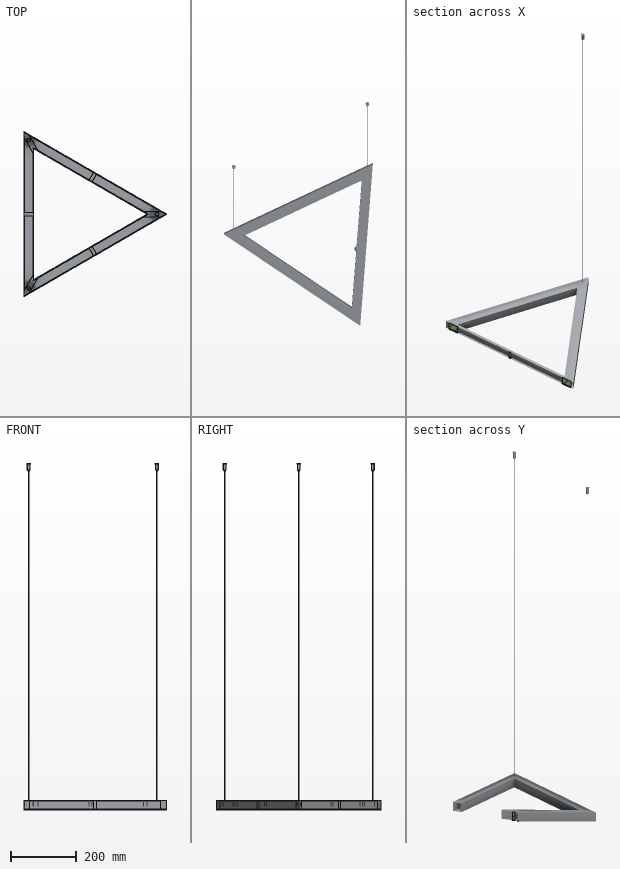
import cadquery as cq
import math

SIDE = 500.0
INRADIUS = SIDE / (2 * math.sqrt(3))
BEAM_WIDTH = 29.0
FRAME_HEIGHT = 28.0
WALL = 1.8
COVER_THICKNESS = WALL
CORNER_ANGLES = (0, 120, 240)
BEAM_ANGLES = (60, 180, 300)

JOINT_WIDTH = 10.0
CORNER_WEB_WIDTH = 17.0

TOTAL_HEIGHT = 1050.0
CORNER_TO_WIRE = 29.0
WIRE_RADIUS = 2 * INRADIUS - CORNER_TO_WIRE
WIRE_DIAMETER = 1.2
SEAT_DEPTH = WALL
FLANGE_DIAMETER = 10.0
FLANGE_HEIGHT = 2.0
GRIPPER_DIAMETER = 9.0
GRIPPER_HEIGHT = 18.0
TIP_DIAMETER = 4.0
TIP_HEIGHT = 2.0
GRIPPER_BOTTOM = TOTAL_HEIGHT - FLANGE_HEIGHT - GRIPPER_HEIGHT - TIP_HEIGHT


def triangle_prism(inradius, height):
    """Equilateral triangular prism centred on the Z axis, standing on z = 0."""
    corners = [
        (2 * inradius * math.cos(math.radians(a)), 2 * inradius * math.sin(math.radians(a)))
        for a in CORNER_ANGLES
    ]
    return cq.Workplane("XY").polyline(corners).close().extrude(height)


def triangle_ring(inset, z_start, z_end):
    """Ring following the frame, set in from its outer and inner faces."""
    height = z_end - z_start
    outer = triangle_prism(INRADIUS - inset, height)
    inner = triangle_prism(INRADIUS - BEAM_WIDTH + inset, height)
    return outer.cut(inner).translate((0, 0, z_start))


def web(x_start, x_end, width, angle):
    """Full-height block lying along X, centred on Y, then turned about the Z axis."""
    return (
        cq.Workplane("XY")
        .rect(x_end - x_start, width)
        .extrude(FRAME_HEIGHT)
        .translate(((x_start + x_end) / 2, 0, 0))
        .rotate((0, 0, 0), (0, 0, 1), angle)
    )


def cylinder(diameter, z_start, height):
    return cq.Workplane("XY", origin=(0, 0, z_start)).circle(diameter / 2).extrude(height)


def at_corner(body, angle):
    return body.translate((WIRE_RADIUS, 0, 0)).rotate((0, 0, 0), (0, 0, 1), angle)


def make_pockets():
    """Six pockets, two per beam, parted by mid-beam and corner webs."""
    pockets = triangle_ring(WALL, COVER_THICKNESS, FRAME_HEIGHT - WALL)
    for angle in BEAM_ANGLES:
        pockets = pockets.cut(web(INRADIUS - BEAM_WIDTH, INRADIUS, JOINT_WIDTH, angle))
    for angle in CORNER_ANGLES:
        pockets = pockets.cut(web(INRADIUS, 2 * INRADIUS, CORNER_WEB_WIDTH, angle))
    return pockets


def make_cover():
    """Flat ring closing the pockets, flush with the underside of the frame."""
    return triangle_ring(WALL, 0, COVER_THICKNESS)


def make_frame():
    """Thin-walled frame with pockets, a recess for the cover and seats for the wires."""
    frame = triangle_ring(0, 0, FRAME_HEIGHT).cut(make_pockets()).cut(make_cover())
    for angle in CORNER_ANGLES:
        seat = cylinder(WIRE_DIAMETER, FRAME_HEIGHT - SEAT_DEPTH, SEAT_DEPTH)
        frame = frame.cut(at_corner(seat, angle))
    return frame


def make_wire(angle):
    wire_bottom = FRAME_HEIGHT - SEAT_DEPTH
    return at_corner(cylinder(WIRE_DIAMETER, wire_bottom, GRIPPER_BOTTOM - wire_bottom), angle)


def make_gripper(angle):
    """Stepped cylinder: narrow tip, barrel and ceiling flange."""
    gripper = cylinder(TIP_DIAMETER, GRIPPER_BOTTOM, TIP_HEIGHT)
    gripper = gripper.union(cylinder(GRIPPER_DIAMETER, GRIPPER_BOTTOM + TIP_HEIGHT, GRIPPER_HEIGHT))
    gripper = gripper.union(cylinder(FLANGE_DIAMETER, TOTAL_HEIGHT - FLANGE_HEIGHT, FLANGE_HEIGHT))
    return at_corner(gripper, angle)


frame = make_frame()
cover = make_cover()
wires = [make_wire(angle) for angle in CORNER_ANGLES]
grippers = [make_gripper(angle) for angle in CORNER_ANGLES]

result = cq.Compound.makeCompound(
    [frame.val(), cover.val()] + [body.val() for body in wires + grippers]
)